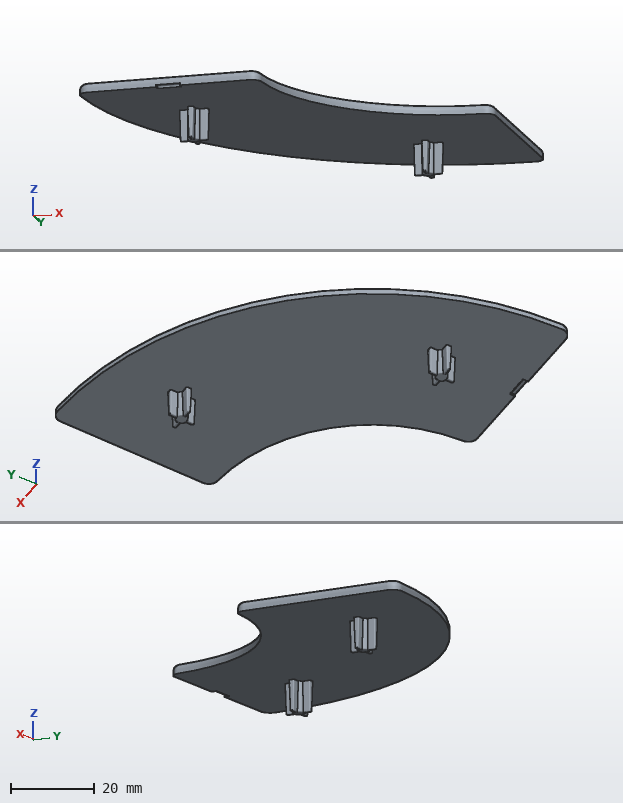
import cadquery as cq
import math

SIDE = 90.0
HEIGHT = 10.1

PLATE_THICKNESS = 2.5
CORNER_RADIUS = 2.5
TOP_FILLET = 1.4
INNER_RADIUS = SIDE / 2
OUTER_RADIUS = CORNER_RADIUS + math.hypot(SIDE - CORNER_RADIUS, CORNER_RADIUS)

PEG_LENGTH = HEIGHT - PLATE_THICKNESS
PEG_ROOT_SPAN = 7.0
PEG_END_SPAN = 6.75
CORE_ROOT_DIAMETER = 3.3
CORE_END_DIAMETER = 3.1
RIB_ROOT_THICKNESS = 1.4
RIB_END_THICKNESS = 0.9
RIB_TIP_FILLET = 0.3
PEG_END_FILLET = 0.3
PEG_POSITIONS = [(SIDE / 4, SIDE / 4), (3 * SIDE / 4, 3 * SIDE / 4)]

NOTCH_WIDTH = 5.9
NOTCH_HEIGHT = 0.5
NOTCH_DEPTH = 1.35
NOTCH_FILLET = 0.3
NOTCH_X = PEG_POSITIONS[0][0]


def make_plate():
    """Quarter-ring plate with rounded corners and a rounded top edge."""
    diagonal = math.sqrt(0.5)
    plate = (
        cq.Workplane("XY")
        .moveTo(SIDE - OUTER_RADIUS, 0)
        .threePointArc((SIDE - OUTER_RADIUS * diagonal, OUTER_RADIUS * diagonal), (SIDE, OUTER_RADIUS))
        .lineTo(SIDE, INNER_RADIUS)
        .threePointArc((SIDE - INNER_RADIUS * diagonal, INNER_RADIUS * diagonal), (SIDE - INNER_RADIUS, 0))
        .close()
        .extrude(PLATE_THICKNESS)
    )
    plate = plate.edges("|Z").fillet(CORNER_RADIUS)
    return plate.faces(">Z").edges().fillet(TOP_FILLET)


def make_core():
    """Tapered round core hanging below the plate."""
    return (
        cq.Workplane("XY")
        .circle(CORE_ROOT_DIAMETER / 2)
        .workplane(offset=-PEG_LENGTH)
        .circle(CORE_END_DIAMETER / 2)
        .loft()
    )


def make_rib_bar():
    """Tapered bar along X with rounded tips; it forms two opposite ribs."""
    return (
        cq.Workplane("XY")
        .rect(PEG_ROOT_SPAN, RIB_ROOT_THICKNESS)
        .workplane(offset=-PEG_LENGTH)
        .rect(PEG_END_SPAN, RIB_END_THICKNESS)
        .loft()
        .edges("not #Z")
        .fillet(RIB_TIP_FILLET)
    )


def make_peg():
    """Cross-ribbed peg hanging below the plate, centred on the Z axis."""
    bar = make_rib_bar()
    crossing_bar = bar.rotate((0, 0, 0), (0, 0, 1), 90)
    peg = make_core().union(bar).union(crossing_bar)
    return peg.faces("<Z").edges().fillet(PEG_END_FILLET)


def make_notch():
    """Block that cuts the pry notch into the underside of the front edge."""
    return (
        cq.Workplane("XY")
        .center(NOTCH_X, 0)
        .rect(NOTCH_WIDTH, 2 * NOTCH_DEPTH)
        .extrude(NOTCH_HEIGHT)
        .faces(">Y")
        .edges(">Z")
        .fillet(NOTCH_FILLET)
    )


result = make_plate().cut(make_notch())
peg = make_peg()
for x, y in PEG_POSITIONS:
    result = result.union(peg.translate((x, y, 0)))